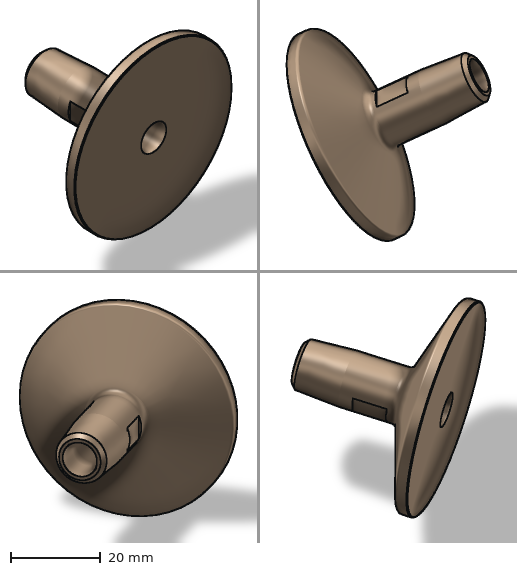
import cadquery as cq
import math

length = 35.0
disc_radius = 25.25

bore_radius = 4.05
tip_chamfer = 1.05
taper_start_radius = 5.95
taper_end = 11.75
stem_radius = 6.6

root_start = 24.0
root_fillet = 1.8
cone_angle = math.radians(70)
rim_start = 32.55
front_rim_fillet = 0.75
back_rim_chamfer = 0.25

flat_start = 15.0
flat_end = 23.05
flat_distance = 6.0


def fillet_point(angle):
    """Point on the concave root fillet, turned by angle from the stem surface."""
    return (
        root_start + root_fillet * math.sin(angle),
        stem_radius + root_fillet * (1 - math.cos(angle)),
    )


def rim_point(angle):
    """Point on the convex rim fillet where its surface makes angle with the axis."""
    return (
        rim_start - front_rim_fillet * math.sin(angle),
        disc_radius - front_rim_fillet * (1 - math.cos(angle)),
    )


def make_body():
    """Revolve the half section of stem, cone and rim, including the bore."""
    return (
        cq.Workplane("XY")
        .moveTo(0, bore_radius)
        .lineTo(0, taper_start_radius - tip_chamfer)
        .lineTo(tip_chamfer, taper_start_radius)
        .lineTo(taper_end, stem_radius)
        .lineTo(root_start, stem_radius)
        .threePointArc(fillet_point(cone_angle / 2), fillet_point(cone_angle))
        .lineTo(*rim_point(cone_angle))
        .threePointArc(rim_point(cone_angle / 2), (rim_start, disc_radius))
        .lineTo(length - back_rim_chamfer, disc_radius)
        .lineTo(length, disc_radius - back_rim_chamfer)
        .lineTo(length, bore_radius)
        .close()
        .revolve(360, (0, 0, 0), (1, 0, 0))
    )


def make_flat_cutter(side):
    """Block that removes the stem beyond the flat; side is -1 or +1 along Y."""
    depth = stem_radius
    return cq.Workplane("XY").box(flat_end - flat_start, depth, 2 * stem_radius).translate(
        ((flat_start + flat_end) / 2, side * (flat_distance + depth / 2), 0)
    )


result = make_body()
for flat_side in (-1, 1):
    result = result.cut(make_flat_cutter(flat_side))